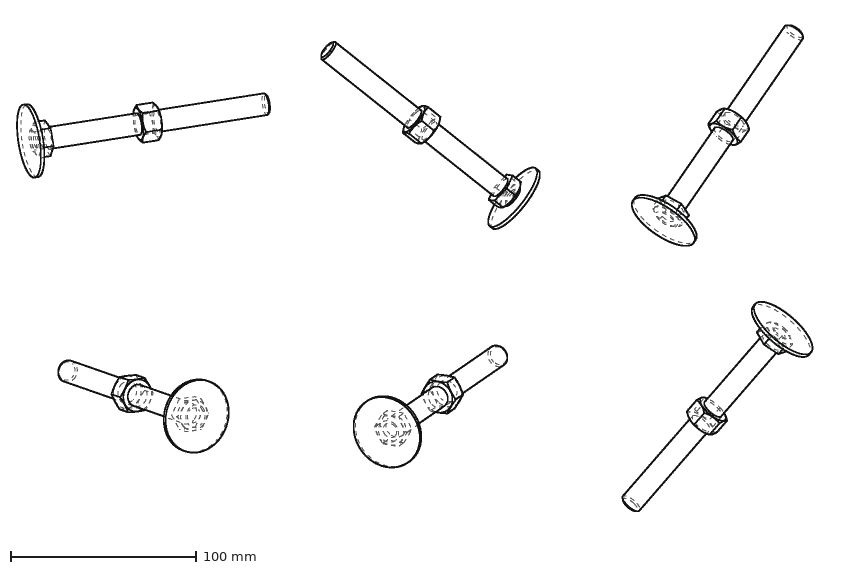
import cadquery as cq
import math

TOTAL_LENGTH = 136.0

PLATE_DIAMETER = 40.0
PLATE_THICKNESS = 2.0
BOSS_BASE_DIAMETER = 12.2
BOSS_TOP_DIAMETER = 8.2
BOSS_HEIGHT = 1.8

HEAD_START = PLATE_THICKNESS + BOSS_HEIGHT
HEAD_ACROSS_FLATS = 17.0
HEAD_HEIGHT = 7.0
ROD_DIAMETER = 12.0
ROD_END_CHAMFER = 1.0

NUT_START = 62.4
NUT_ACROSS_FLATS = 18.0
NUT_HEIGHT = 10.7

HEX_CHAMFER_ANGLE = math.radians(30)
HEX_FACE_RATIO = 0.98


def plane_at(y):
    """Plane facing +Y, with its local x axis along global X."""
    return cq.Workplane(cq.Plane(origin=(0, y, 0), xDir=(1, 0, 0), normal=(0, 1, 0)))


def hexagon(start, across_flats, height, chamfer_far_end):
    """Hexagonal prism with corners on the X axis, its near and optionally far corners chamfered."""
    across_corners = across_flats / math.cos(math.pi / 6)
    prism = plane_at(start).polygon(6, across_corners).extrude(height)

    outer_radius = across_corners / 2
    face_radius = HEX_FACE_RATIO * across_flats / 2
    chamfer_depth = (outer_radius - face_radius) * math.tan(HEX_CHAMFER_ANGLE)
    end = start + height
    envelope = (
        cq.Workplane("XY")
        .moveTo(0, start)
        .lineTo(face_radius, start)
        .lineTo(outer_radius, start + chamfer_depth)
    )
    if chamfer_far_end:
        envelope = envelope.lineTo(outer_radius, end - chamfer_depth).lineTo(face_radius, end)
    else:
        envelope = envelope.lineTo(outer_radius, end)
    envelope = envelope.lineTo(0, end).close().revolve(360, (0, 0, 0), (0, 1, 0))
    return prism.intersect(envelope)


def make_foot_plate():
    """Round plate with a boss that tapers towards the spindle head."""
    plate = plane_at(0).circle(PLATE_DIAMETER / 2).extrude(PLATE_THICKNESS)
    boss = (
        cq.Workplane("XY")
        .moveTo(0, PLATE_THICKNESS)
        .lineTo(BOSS_BASE_DIAMETER / 2, PLATE_THICKNESS)
        .lineTo(BOSS_TOP_DIAMETER / 2, HEAD_START)
        .lineTo(0, HEAD_START)
        .close()
        .revolve(360, (0, 0, 0), (0, 1, 0))
    )
    return plate.union(boss)


def make_spindle():
    """Hexagonal head carrying a long rod with a chamfered free end."""
    head = hexagon(HEAD_START, HEAD_ACROSS_FLATS, HEAD_HEIGHT, chamfer_far_end=False)
    rod_start = HEAD_START + HEAD_HEIGHT
    rod = (
        plane_at(rod_start)
        .circle(ROD_DIAMETER / 2)
        .extrude(TOTAL_LENGTH - rod_start)
        .faces(">Y")
        .chamfer(ROD_END_CHAMFER)
    )
    return head.union(rod)


def make_nut():
    """Nut chamfered at both ends, with a bore that fits the rod."""
    blank = hexagon(NUT_START, NUT_ACROSS_FLATS, NUT_HEIGHT, chamfer_far_end=True)
    bore = plane_at(NUT_START).circle(ROD_DIAMETER / 2).extrude(NUT_HEIGHT)
    return blank.cut(bore)


foot_plate = make_foot_plate()
spindle = make_spindle()
nut = make_nut()

result = cq.Compound.makeCompound([foot_plate.val(), spindle.val(), nut.val()])